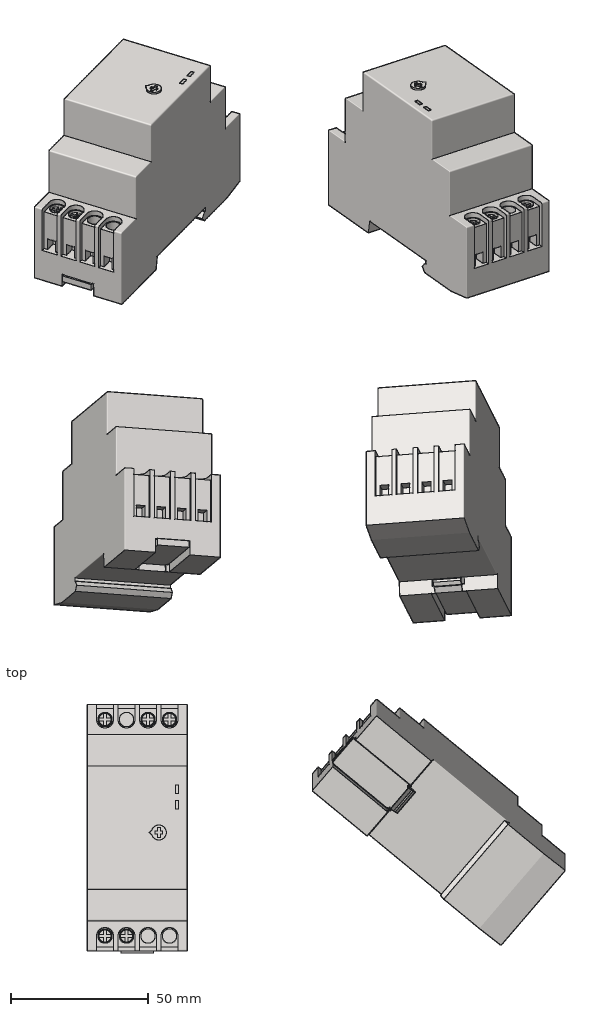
import cadquery as cq


width = 36.3
overall_length = 90.2
overall_height = 65.8
tab_reach = 0.7
knob_height = 0.7
length = overall_length - tab_reach
height = overall_height - knob_height
end_y = length / 2
base_top = 30.9
middle_top = 49.1
middle_y = 67.65 / 2
upper_y = 44.8 / 2
step_radius = 0.5
side_radius = 0.3

rail_ceiling = 5.1
wall_foot_y = -18.8
wall_head_y = -17.9
lip_notch_y = 18.2
lip_notch_z = 3.9
lip_top_y = 17.7
lip_tip_y = 16.0
lip_tip_z = 1.9
lip_foot_y = 17.6
bevel_start_y = 34.55
bevel_rise = 1.7

latch_slot_width = 13.0
latch_width = 11.8
latch_bottom = 2.6
hook_width = 10.1
hook_shoulder_y = -19.1
hook_tip_y = -15.3
hook_tip_low = 2.9
hook_tip_high = 3.8
hook_notch_z = 1.7
hook_notch_outer_y = -17.05
hook_notch_inner_y = -16.4

terminal_count = 4
terminal_span = 23.4
terminal_pitch = terminal_span / (terminal_count - 1)
terminal_xs = [i * terminal_pitch - terminal_span / 2 for i in range(terminal_count)]
terminal_inset = 5.5
slot_width = 6.1
slot_depth = 1.4
slot_floor = 13.0
terminal_top = 28.95
wire_width = 3.25
wire_height = 4.6
screw_hole_radius = 2.6
screw_hole_depth = 3.6
screw_radius = 2.3
screw_drop = 0.7
cross_width = 1.0
cross_depth = 0.9
front_screws = (0, 1)
back_screws = (0, 2, 3)

knob_x = 7.85
knob_y = -1.7
knob_radius = 2.7
pointer_reach = 3.5
pointer_base = 2.5
pointer_half_width = 0.9
knob_cross_x = 2.7
knob_cross_y = 3.6
knob_cross_width = 1.0
knob_cross_depth = 0.5
window_x = 14.4
window_ys = (13.9, 8.3)
window_width = 1.2
window_length = 3.1
window_depth = 0.2


def block(x_size, y_from, y_to, z_from, z_to, x=0.0):
    """Box centred on x and spanning the given Y and Z ranges."""
    return cq.Workplane("XY").box(x_size, y_to - y_from, z_to - z_from).translate(
        (x, (y_from + y_to) / 2, (z_from + z_to) / 2)
    )


def cylinder(x, y, radius, z_from, z_to):
    """Upright cylinder between two heights."""
    return cq.Workplane("XY", origin=(x, y, z_from)).circle(radius).extrude(z_to - z_from)


def side_extrusion(points, x_size):
    """Extrude a closed (Y, Z) outline symmetrically along X."""
    return cq.Workplane("YZ").polyline(points).close().extrude(x_size / 2, both=True)


def cross(x, y, x_span, y_span, arm_width, z_from, z_to):
    """Upright cross-shaped prism centred on (x, y)."""
    along_x = block(x_span, y - arm_width / 2, y + arm_width / 2, z_from, z_to, x)
    along_y = block(arm_width, y - y_span / 2, y + y_span / 2, z_from, z_to, x)
    return along_x.union(along_y)


def housing():
    """Stepped body with the rail recess, all upper edges rounded."""
    body = side_extrusion(
        [
            (-end_y, 0),
            (-end_y, base_top),
            (-middle_y, base_top),
            (-middle_y, middle_top),
            (-upper_y, middle_top),
            (-upper_y, height),
            (upper_y, height),
            (upper_y, middle_top),
            (middle_y, middle_top),
            (middle_y, base_top),
            (end_y, base_top),
            (end_y, bevel_rise),
            (bevel_start_y, 0),
            (lip_foot_y, 0),
            (lip_tip_y, lip_tip_z),
            (lip_top_y, lip_notch_z),
            (lip_notch_y, lip_notch_z),
            (lip_notch_y, rail_ceiling),
            (wall_head_y, rail_ceiling),
            (wall_foot_y, 0),
        ],
        width,
    )
    for y, z in ((end_y, base_top), (middle_y, middle_top)):
        for side in (-1, 1):
            body = body.edges(cq.selectors.NearestToPointSelector((0, side * y, z))).fillet(step_radius)
    stepped_zone = cq.selectors.BoxSelector(
        (-width, -length, rail_ceiling), (width, length, height - step_radius)
    )
    outline = body.faces("<X or >X").edges(stepped_zone)
    body = body.newObject(outline.vals()).fillet(side_radius)
    return body.faces(">Z").edges().fillet(step_radius)


def terminal(x, end, has_screw):
    """Return the pocket and the screw (or None) of one terminal; end is -1 for front, 1 for back."""
    axis_y = end * (end_y - terminal_inset)

    def inward(x_size, depth, z_from, z_to):
        """Block that cuts into the end face to the given depth."""
        near, far = sorted((end * (end_y - depth), end * length))
        return block(x_size, near, far, z_from, z_to, x)

    pocket = (
        inward(slot_width, slot_depth, slot_floor, base_top)
        .union(inward(slot_width, terminal_inset, terminal_top, base_top))
        .union(cylinder(x, axis_y, slot_width / 2, terminal_top, base_top))
        .union(cylinder(x, axis_y, screw_hole_radius, terminal_top - screw_hole_depth, terminal_top))
        .union(inward(wire_width, terminal_inset, slot_floor, slot_floor + wire_height))
    )
    if not has_screw:
        return pocket, None
    head_top = terminal_top - screw_drop
    span = 2 * screw_radius
    screw = cylinder(x, axis_y, screw_radius, terminal_top - screw_hole_depth, head_top).cut(
        cross(x, axis_y, span, span, cross_width, head_top - cross_depth, head_top)
    )
    return pocket, screw


def latch():
    """Latch plate with its front tab, and the hook that grips the rail."""
    plate = block(latch_width, -end_y - tab_reach, wall_head_y, latch_bottom, rail_ceiling)
    hook = side_extrusion(
        [
            (wall_foot_y, 0),
            (wall_head_y, rail_ceiling),
            (hook_tip_y, hook_tip_high),
            (hook_tip_y, hook_tip_low),
            (hook_notch_inner_y, hook_notch_z),
            (hook_notch_outer_y, hook_notch_z),
        ],
        hook_width,
    )
    return plate.union(hook)


def knob():
    """Round knob with a small side pointer and a cross recess."""
    top = height + knob_height
    pointer = (
        cq.Workplane("XY", origin=(knob_x, knob_y, height))
        .polyline(
            [
                (-pointer_base, -pointer_half_width),
                (-pointer_reach, 0),
                (-pointer_base, pointer_half_width),
                (0, 0),
            ]
        )
        .close()
        .extrude(knob_height)
    )
    recess = cross(
        knob_x, knob_y, knob_cross_x, knob_cross_y, knob_cross_width, top - knob_cross_depth, top
    )
    return cylinder(knob_x, knob_y, knob_radius, height, top).union(pointer).cut(recess)


result = housing()
for end, screws in ((-1, front_screws), (1, back_screws)):
    for i, x in enumerate(terminal_xs):
        pocket, screw = terminal(x, end, i in screws)
        result = result.cut(pocket)
        if screw:
            result = result.union(screw)

latch_slot = block(latch_slot_width, -length, hook_shoulder_y, 0, rail_ceiling)
hook_notch = block(hook_width, -length, wall_head_y, 0, rail_ceiling)
result = result.cut(latch_slot).cut(hook_notch).union(latch())

for y in window_ys:
    y_from = y - window_length / 2
    y_to = y + window_length / 2
    result = result.cut(block(window_width, y_from, y_to, height - window_depth, height, window_x))

result = result.union(knob())